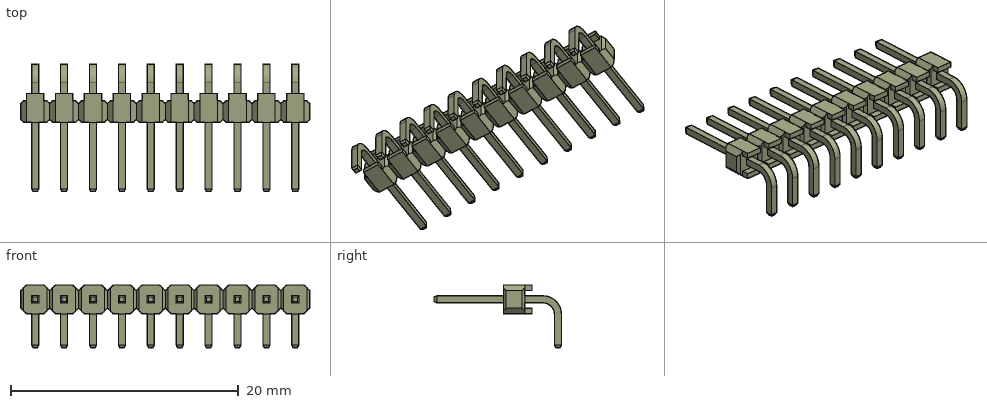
import cadquery as cq

unit_count = 10
pitch = 2.54

block_height = pitch
block_depth = 1.9
corner_chamfer = 0.5
side_chamfer = 0.25
foot_depth = 0.64
foot_height = 0.5
foot_width = pitch - 2 * corner_chamfer

pin_size = 0.64
front_reach = 6.1
back_reach = 2.58
leg_drop = 3.0
bend_inner_radius = 1.0
bend_outer_radius = bend_inner_radius + pin_size
tip_length = 0.25
tip_inset = 0.13

feet_back_y = block_depth + foot_depth
leg_outer_y = feet_back_y + back_reach
leg_inner_y = leg_outer_y - pin_size
bend_start_y = leg_outer_y - bend_outer_radius
leg_tip_z = -block_height / 2 - leg_drop
bend_end_z = pin_size / 2 - bend_outer_radius
tip_size = pin_size - 2 * tip_inset


def make_block():
    """Octagonal block with bevelled side faces and stand-off ribs at the back."""
    octagon = (
        cq.Workplane("XY")
        .box(pitch, block_depth, block_height)
        .edges("|Y")
        .chamfer(corner_chamfer)
    )
    bevelled_plan = (
        cq.Workplane("XY")
        .box(pitch, block_depth, block_height)
        .edges("|Z")
        .chamfer(side_chamfer)
    )
    block = octagon.intersect(bevelled_plan).translate((0, block_depth / 2, 0))
    foot_offset = (block_height - foot_height) / 2
    for side in (-1, 1):
        foot = (
            cq.Workplane("XY")
            .box(foot_width, foot_depth, foot_height)
            .translate((0, block_depth + foot_depth / 2, side * foot_offset))
        )
        block = block.union(foot)
    return block


def make_tip(base, direction):
    """Tapered pin end growing from the base point in the given direction."""
    return (
        cq.Workplane(cq.Plane(origin=base, xDir=(1, 0, 0), normal=direction))
        .rect(pin_size, pin_size)
        .workplane(offset=tip_length)
        .rect(tip_size, tip_size)
        .loft(ruled=True)
    )


def make_pin():
    """Square pin running along Y, then bent through 90 degrees to point down."""
    half = pin_size / 2
    tip_start_y = tip_length - front_reach
    tip_start_z = leg_tip_z + tip_length
    shank = (
        cq.Workplane("YZ")
        .moveTo(tip_start_y, half)
        .lineTo(bend_start_y, half)
        .radiusArc((leg_outer_y, bend_end_z), bend_outer_radius)
        .lineTo(leg_outer_y, tip_start_z)
        .lineTo(leg_inner_y, tip_start_z)
        .lineTo(leg_inner_y, bend_end_z)
        .radiusArc((bend_start_y, -half), -bend_inner_radius)
        .lineTo(tip_start_y, -half)
        .close()
        .extrude(half, both=True)
    )
    front_tip = make_tip((0, tip_start_y, 0), (0, -1, 0))
    leg_centre_y = leg_outer_y - half
    leg_tip = make_tip((0, leg_centre_y, tip_start_z), (0, 0, -1))
    return shank.union(front_tip).union(leg_tip)


unit = make_block().union(make_pin())

first_x = -(unit_count - 1) * pitch / 2
header_units = []
for index in range(unit_count):
    header_units.append(unit.translate((first_x + index * pitch, 0, 0)).val())

result = cq.Compound.makeCompound(header_units)